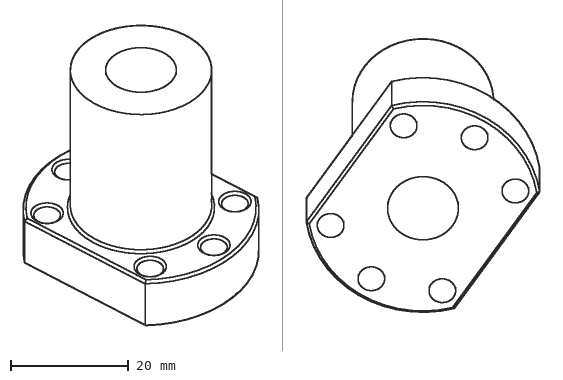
import cadquery as cq

flange_diameter = 40.0
flange_width = 30.0
flange_height = 10.0
total_height = 40.0
barrel_diameter = 24.0
bore_diameter = 12.0
bolt_circle_diameter = 32.0
bolt_hole_diameter = 4.5
bolt_spacing_angle = 45.0
bolts_per_side = 3
edge_break = 0.5


def make_flange():
    """Round flange with two flats, chamfered around both faces."""
    disc = cq.Workplane("XY").circle(flange_diameter / 2).extrude(flange_height)
    flats = cq.Workplane("XY").box(
        flange_diameter, flange_width, flange_height, centered=(True, True, False)
    )
    return disc.intersect(flats).faces("<Z or >Z").edges().chamfer(edge_break)


def make_barrel():
    """Barrel rising through the flange, with a flared root where it meets the flange top."""
    barrel = cq.Workplane("XY").circle(barrel_diameter / 2).extrude(total_height)
    radius = barrel_diameter / 2
    root = cq.Workplane("XY").add(
        cq.Solid.makeCone(radius + edge_break, radius, edge_break, pnt=cq.Vector(0, 0, flange_height))
    )
    return barrel.union(root)


def make_bolt_cutter():
    """Through hole with a countersunk rim at the flange top, standing on the Z axis."""
    radius = bolt_hole_diameter / 2
    hole = cq.Workplane("XY").circle(radius).extrude(flange_height)
    rim = cq.Workplane("XY").add(
        cq.Solid.makeCone(radius, radius + edge_break, edge_break,
                          pnt=cq.Vector(0, 0, flange_height - edge_break))
    )
    return hole.union(rim)


def bolt_angles():
    """Angles of the bolt holes, grouped about the +X and -X directions."""
    return [
        side + (index - (bolts_per_side - 1) / 2) * bolt_spacing_angle
        for side in (0, 180)
        for index in range(bolts_per_side)
    ]


result = make_flange().union(make_barrel())

bore = cq.Workplane("XY").circle(bore_diameter / 2).extrude(total_height)
result = result.cut(bore)

bolt_cutter = make_bolt_cutter().translate((bolt_circle_diameter / 2, 0, 0))
for angle in bolt_angles():
    result = result.cut(bolt_cutter.rotate((0, 0, 0), (0, 0, 1), angle))